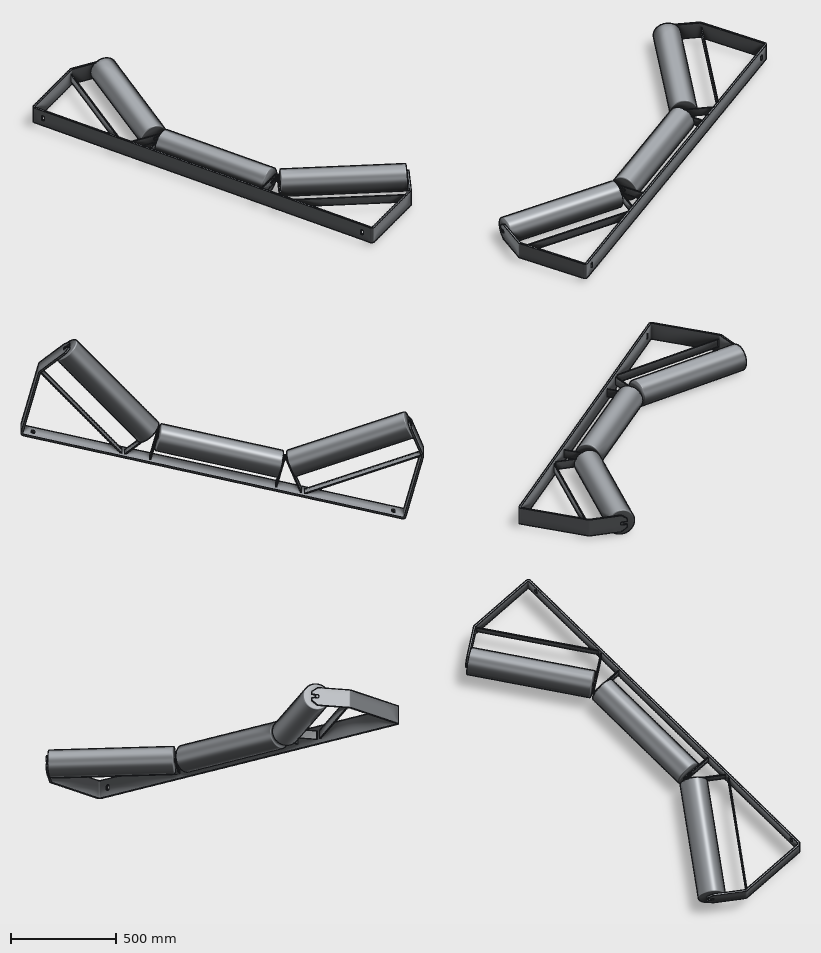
import cadquery as cq
import math


roller_diameter = 132.0
roller_length = 601.0
roller_edge_radius = 5.0
shaft_diameter = 17.0
trough_angle = 35.0
center_roller_y = 127.0
wing_roller_x = 595.0
wing_roller_y = 314.0
end_gap = 5.0

frame_length = 1890.0
strip_height = 87.0
strip_thickness = 10.0
wing_bend_y = 360.0
wing_length = 189.0
bend_radius = 15.0
tip_chamfer_along = 28.0
tip_chamfer_across = 20.0

inner_strip_height = 42.0
inner_strip_thickness = 5.0

saddle_top_y = 170.0
saddle_bend_radius = 8.0
shaft_overhang = end_gap + inner_strip_thickness

brace_top_y = 348.0

hole_x = 885.0
hole_width = 17.0
hole_height = 28.0

tilt = math.radians(trough_angle)
along = (math.cos(tilt), math.sin(tilt))
across = (-math.sin(tilt), math.cos(tilt))
half_length = frame_length / 2

roller_places = [
    (-wing_roller_x, wing_roller_y, -trough_angle),
    (0.0, center_roller_y, 0.0),
    (wing_roller_x, wing_roller_y, trough_angle),
]


def place(body, x, y, angle):
    """Turn a body about Z and move it to its roller position."""
    return body.rotate((0, 0, 0), (0, 0, 1), angle).translate((x, y, 0))


def moved(point, direction, distance):
    return (point[0] + direction[0] * distance, point[1] + direction[1] * distance)


def unit_vector(start, end):
    length = math.dist(start, end)
    return ((end[0] - start[0]) / length, (end[1] - start[1]) / length)


def left_face(points, thickness):
    """Points of the strip face that lies one thickness to the left of the given face."""
    directions = [unit_vector(a, b) for a, b in zip(points, points[1:])]
    before = directions[:1] + directions
    after = directions + directions[-1:]
    face = []
    for point, d1, d2 in zip(points, before, after):
        mitre = thickness / (1 + d1[0] * d2[0] + d1[1] * d2[1])
        face.append(moved(point, (-d1[1] - d2[1], d1[0] + d2[0]), mitre))
    return face


def bent_strip(points, thickness, height, outer_radius=0.0):
    """Flat strip folded along left-turning points on its outer face, rounded at the bends."""
    inner = left_face(points, thickness)
    outline = cq.Workplane("XY").workplane(offset=-height / 2).polyline(points + inner[::-1]).close()
    strip = outline.extrude(height)
    for outer_bend, inner_bend in zip(points[1:-1], inner[1:-1]):
        for bend, radius in ((outer_bend, outer_radius), (inner_bend, outer_radius - thickness)):
            edge = cq.selectors.NearestToPointSelector((*bend, 0))
            strip = strip.edges(edge).fillet(radius)
    return strip


def rod_along_x(diameter, length):
    """Cylinder along X, centred on the origin."""
    return cq.Workplane("YZ").workplane(offset=-length / 2).circle(diameter / 2).extrude(length)


def make_roller():
    """Roller with its shaft along X."""
    shaft_length = roller_length + 2 * shaft_overhang
    shell = rod_along_x(roller_diameter, roller_length).faces("|X").edges().fillet(roller_edge_radius)
    return shell.union(rod_along_x(shaft_diameter, shaft_length))


def shaft_slots():
    """Slot tool with a round floor around the shaft, open toward the roller's own +Y."""
    tool_length = roller_length + 2 * (end_gap + 2 * strip_thickness)
    opening = roller_diameter / 2
    floor = rod_along_x(shaft_diameter, tool_length)
    sides = cq.Workplane("XY").box(tool_length, opening, shaft_diameter).translate((0, opening / 2, 0))
    return floor.union(sides)


def outer_strip():
    """Base strip with both ends folded up and then inward as wings."""
    right_bend = (half_length, wing_bend_y)
    right_tip = moved(right_bend, across, wing_length)
    right_side = [(half_length, 0), right_bend, right_tip]
    left_side = [(-x, y) for x, y in reversed(right_side)]
    return bent_strip(left_side + right_side, strip_thickness, strip_height, bend_radius)


def wing_tip_corners():
    """Wedges that chamfer the four corners of the right wing tip."""
    tip = moved((half_length, wing_bend_y), across, wing_length)
    top = strip_height / 2
    corner = [
        (0, top),
        (0, top - tip_chamfer_across),
        (-tip_chamfer_along, top),
    ]
    wedge = cq.Workplane("YZ").polyline(corner).close().extrude(2 * strip_thickness, both=True)
    wedges = wedge.union(wedge.mirror("XY"))
    return place(wedges, *tip, trough_angle)


def right_saddle():
    """Inverted V: an upright leg beside the centre roller, an inclined leg at the wing roller."""
    leg_x = roller_length / 2 + end_gap
    roller_center = (wing_roller_x, wing_roller_y)
    on_incline = moved(roller_center, along, -roller_length / 2 - end_gap)
    incline_slope = across[0] / across[1]
    foot_y = strip_thickness / 2

    foot_x = on_incline[0] + (foot_y - on_incline[1]) * incline_slope
    top_x = on_incline[0] + (saddle_top_y - on_incline[1]) * incline_slope
    points = [(foot_x, foot_y), (top_x, saddle_top_y), (leg_x, saddle_top_y), (leg_x, foot_y)]
    return bent_strip(points, inner_strip_thickness, inner_strip_height, saddle_bend_radius)


def right_brace():
    """Narrow diagonal from the upright side down to the base, parallel to the wing roller."""
    top = (half_length - strip_thickness / 2, brace_top_y)
    foot_y = strip_thickness / 2
    foot = moved(top, along, (foot_y - brace_top_y) / along[1])
    return bent_strip([foot, top], inner_strip_thickness, inner_strip_height)


def mounting_holes():
    holes = cq.Workplane("XZ").pushPoints([(-hole_x, 0), (hole_x, 0)])
    return holes.slot2D(hole_height, hole_width, 90).extrude(strip_thickness * 2, both=True)


def make_frame():
    frame = outer_strip()
    for half_part in (right_saddle(), right_brace()):
        frame = frame.union(half_part).union(half_part.mirror("YZ"))
    corners = wing_tip_corners()
    frame = frame.cut(corners).cut(corners.mirror("YZ"))
    for x, y, angle in roller_places:
        frame = frame.cut(place(shaft_slots(), x, y, angle))
    return frame.cut(mounting_holes())


frame = make_frame()
rollers = [place(make_roller(), x, y, angle) for x, y, angle in roller_places]

result = cq.Compound.makeCompound([frame.val(), *[roller.val() for roller in rollers]])